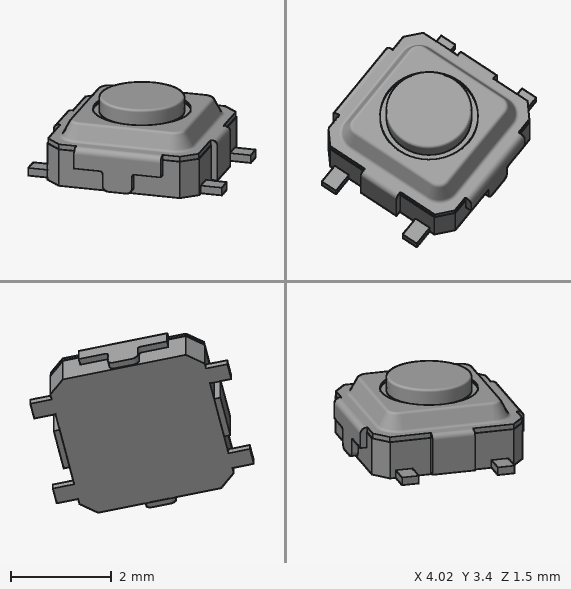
import cadquery as cq

base_length = 3.15
base_width = 3.13
base_height = 0.77
corner_cut_x = 0.32
corner_cut_y = 0.28
cover_inset = 0.012
cover_top = 0.875

dome_top = 1.225
dome_bottom_length = 2.73
dome_bottom_width = 2.71
dome_corner_radius = 0.4
dome_slope_angle = 28.0
dome_edge_fillet = 0.08

button_top = 1.5
button_diameter = 1.7
button_edge_fillet = 0.05
recess_diameter = 1.95
recess_depth = 0.05

tab_span = 3.4
tab_bottom = 0.03
end_tab_width = 0.88
end_tab_bend_radius = 0.11
side_tab_width = 1.8
side_tab_bend_radius = 0.13
side_tab_step = 0.45
tongue_width = 0.61
tongue_tip_radius = 0.12
tongue_root_radius = 0.06

terminal_span = 4.02
terminal_width = 0.35
terminal_thickness = 0.165
terminal_pitch = 1.99


def octagon_plate(inset, bottom, top):
    """Rectangular plate with cut corners, its sides moved inwards by inset."""
    half_x = base_length / 2 - inset
    half_y = base_width / 2 - inset
    cut_x = base_length / 2 - corner_cut_x
    cut_y = base_width / 2 - corner_cut_y
    points = [
        (half_x, -cut_y),
        (half_x, cut_y),
        (cut_x, half_y),
        (-cut_x, half_y),
        (-half_x, cut_y),
        (-half_x, -cut_y),
        (-cut_x, -half_y),
        (cut_x, -half_y),
    ]
    return cq.Workplane("XY").workplane(offset=bottom).polyline(points).close().extrude(top - bottom)


def box_between(length, width, bottom, top):
    """Box centred on the Z axis between two heights."""
    return cq.Workplane("XY").workplane(offset=bottom).rect(length, width).extrude(top - bottom)


def add_dome(body):
    """Tapered dome, rounded at its top edge and blended into the cover."""
    dome = (
        cq.Workplane("XY")
        .workplane(offset=cover_top)
        .sketch()
        .rect(dome_bottom_length, dome_bottom_width)
        .vertices()
        .fillet(dome_corner_radius)
        .finalize()
        .extrude(dome_top - cover_top, taper=dome_slope_angle)
    )
    domed = body.union(dome)
    margin = dome_edge_fillet / 4
    foot_edges = cq.selectors.BoxSelector(
        (-dome_bottom_length / 2 - margin, -dome_bottom_width / 2 - margin, cover_top - margin),
        (dome_bottom_length / 2 + margin, dome_bottom_width / 2 + margin, cover_top + margin),
        boundingbox=True,
    )
    return domed.faces(">Z").edges().fillet(dome_edge_fillet).edges(foot_edges).fillet(dome_edge_fillet)


def add_button(body):
    """Recess in the dome top and the button that rises out of it."""
    recess_floor = dome_top - recess_depth
    recess = cq.Workplane("XY").workplane(offset=recess_floor).circle(recess_diameter / 2).extrude(recess_depth)
    button = (
        cq.Workplane("XY")
        .workplane(offset=base_height)
        .circle(button_diameter / 2)
        .extrude(button_top - base_height)
        .faces(">Z")
        .edges()
        .fillet(button_edge_fillet)
    )
    return body.cut(recess).union(button)


def end_tabs():
    """Plain tabs on the two X ends, running through the housing as one strap."""
    strap = box_between(tab_span, end_tab_width, tab_bottom, cover_top)
    return strap.edges("|Y and >Z").fillet(end_tab_bend_radius)


def side_tabs():
    """Wide tabs on the two Y sides, each with a narrow tongue reaching down."""
    wide = box_between(side_tab_width, tab_span, side_tab_step, cover_top)
    tongue = box_between(tongue_width, tab_span, tab_bottom, side_tab_step)
    strap = wide.union(tongue)
    root_edges = cq.selectors.BoxSelector(
        (-tongue_width, -tab_span, side_tab_step - tongue_root_radius),
        (tongue_width, tab_span, side_tab_step + tongue_root_radius),
    )
    return (
        strap.edges("|X and >Z")
        .fillet(side_tab_bend_radius)
        .edges("|Y and <Z")
        .fillet(tongue_tip_radius)
        .edges("|Y")
        .edges(root_edges)
        .fillet(tongue_root_radius)
    )


def terminals():
    """Two flat strips along X whose ends form the four terminals."""
    return (
        cq.Workplane("XY")
        .rarray(1, terminal_pitch, 1, 2)
        .rect(terminal_span, terminal_width)
        .extrude(terminal_thickness)
    )


housing = octagon_plate(0, 0, base_height).union(octagon_plate(cover_inset, base_height, cover_top))
housing = add_button(add_dome(housing))
result = housing.union(end_tabs()).union(side_tabs()).union(terminals())